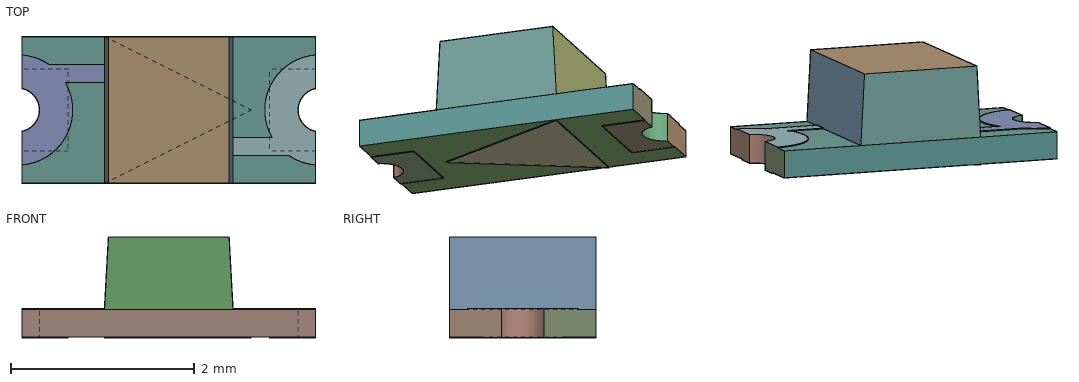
import cadquery as cq

length = 3.2
width = 1.6
height = 1.1
board_thickness = 0.3
film_thickness = 0.01

arc_overhang = 0.048
notch_radius = 0.237
pad_radius = 0.6
track_inner_y = 0.3
track_outer_y = 0.495
under_pad_length = 0.5
under_pad_width = 0.895

lens_foot_length = 1.405
lens_top_length = 1.32

mark_start_x = -0.7
mark_length = 1.6

end_x = -length / 2
arc_centre_x = end_x - arc_overhang
board_bottom_z = film_thickness
board_top_z = board_bottom_z + board_thickness
conductor_top_z = board_top_z + film_thickness


def box(x_start, x_end, y_start, y_end, z_start, z_end):
    """Block between opposite corners."""
    size = (x_end - x_start, y_end - y_start, z_end - z_start)
    return cq.Workplane("XY").box(*size, centered=False).translate((x_start, y_start, z_start))


def end_cylinder(radius, z_start, z_end):
    """Upright cylinder on the arc centre at the -X end."""
    return cq.Workplane("XY", origin=(arc_centre_x, 0, z_start)).circle(radius).extrude(z_end - z_start)


def make_end_conductors():
    """Round top pad, its track to the lens, and the lower pad at the -X end."""
    track = box(arc_centre_x, -lens_foot_length / 2, track_inner_y, track_outer_y,
                board_top_z, conductor_top_z)
    top_pad = end_cylinder(pad_radius, board_top_z, conductor_top_z).union(track)
    board_area = box(end_x, 0, -width / 2, width / 2, board_top_z, conductor_top_z)
    lower_pad = box(end_x, end_x + under_pad_length, -under_pad_width / 2, under_pad_width / 2,
                    0, board_bottom_z)
    return top_pad.intersect(board_area).union(lower_pad)


def make_board():
    """Board with its plated ends; the two ends match under a half turn about Z."""
    board = box(end_x, -end_x, -width / 2, width / 2, board_bottom_z, board_top_z)
    conductors = make_end_conductors()
    notch = end_cylinder(notch_radius, 0, conductor_top_z)
    for turn in (0, 180):
        board = board.union(conductors.rotate((0, 0, 0), (0, 0, 1), turn))
        board = board.cut(notch.rotate((0, 0, 0), (0, 0, 1), turn))
    return board


def make_lens():
    """Full-width lens with sloping end faces."""
    outline = [
        (-lens_foot_length / 2, board_top_z),
        (lens_foot_length / 2, board_top_z),
        (lens_top_length / 2, height),
        (-lens_top_length / 2, height),
    ]
    return cq.Workplane("XZ").polyline(outline).close().extrude(width / 2, both=True)


def make_mark():
    """Thin triangular mark on the underside: full-width base, tip towards +X."""
    outline = [
        (mark_start_x, -width / 2),
        (mark_start_x + mark_length, 0),
        (mark_start_x, width / 2),
    ]
    return cq.Workplane("XY").polyline(outline).close().extrude(board_bottom_z)


board = make_board()
lens = make_lens()
mark = make_mark()

result = cq.Compound.makeCompound([board.solids().val(), lens.solids().val(), mark.val()])